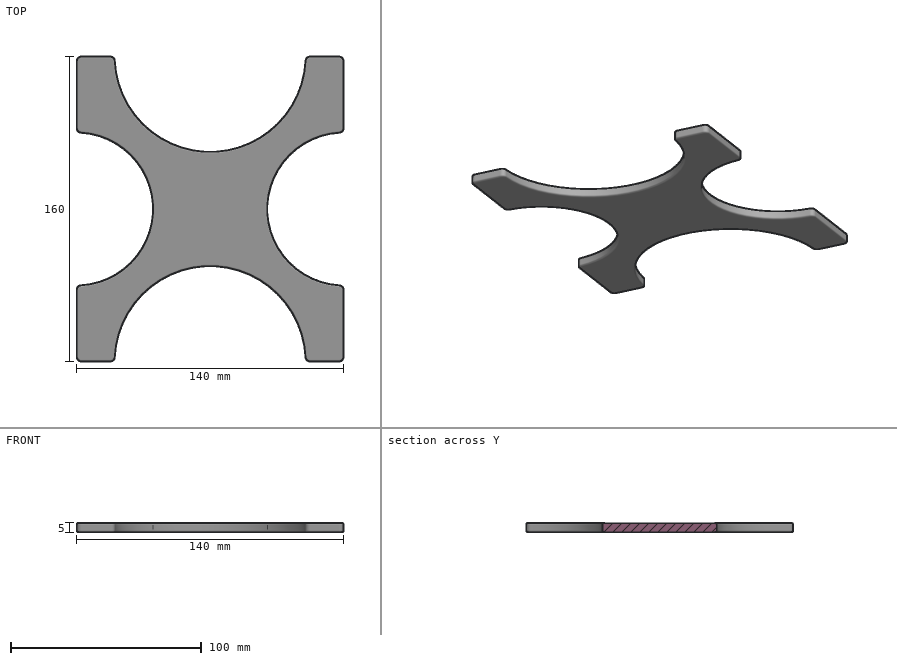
import cadquery as cq

width = 140.0
length = 160.0
thickness = 5.0
foot_width = 20.0
foot_length = 40.0
corner_radius = 2.5
edge_round = 1.0

end_cutout_radius = width / 2 - foot_width
side_cutout_radius = length / 2 - foot_length


def round_cutouts(centers, radius):
    return cq.Workplane("XY").pushPoints(centers).circle(radius).extrude(thickness)


plate = cq.Workplane("XY").rect(width, length).extrude(thickness)

end_centers = [(0, -length / 2), (0, length / 2)]
side_centers = [(-width / 2, 0), (width / 2, 0)]
cross = plate.cut(round_cutouts(end_centers, end_cutout_radius))
cross = cross.cut(round_cutouts(side_centers, side_cutout_radius))

cross = cross.edges("|Z").fillet(corner_radius)
result = cross.faces("<Z or >Z").edges().fillet(edge_round)